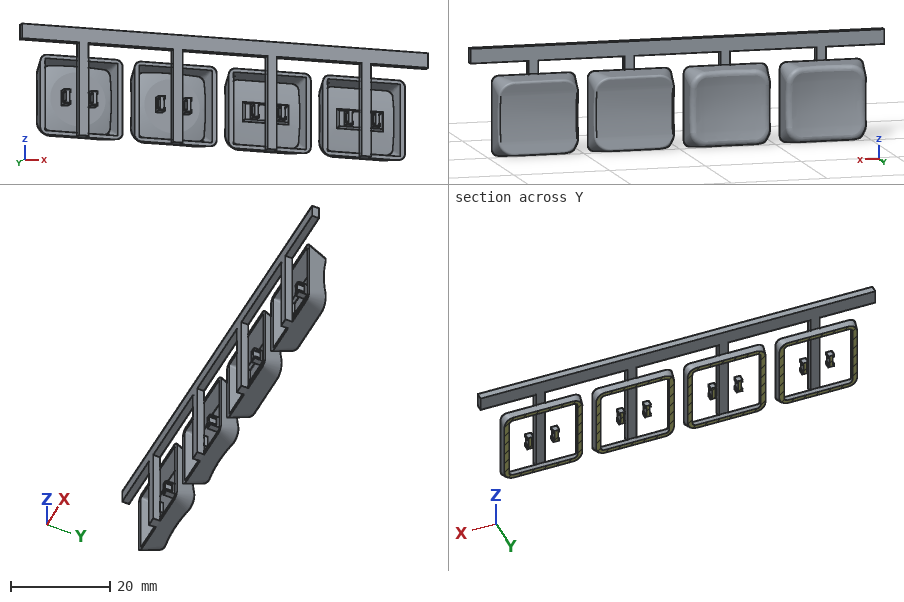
import cadquery as cq
import math


sprue_length = 86.4
sprue_thickness = 1.55
rail_height = 3.0
runner_width = 2.0
rail_gap = 2.7

cap_width = 17.5
cap_height = 16.5
cap_pitch = 20.0
crown_y = 5.2
draft_x = 0.6
draft_z = 0.8
rim_corner = 1.5
crown_corner = 3.6

wall_x = 1.0
wall_z = 0.8
cavity_draft_x = 1.0
cavity_draft_z = 1.3
opening_corner = 0.3
cavity_crown_corner = 1.9

dish_radius_x = 31.95
dish_radius_z = 28.5
bowl_floor = 3.2
trough_floor = 3.6
bowl_edge_round = 0.95
trough_edge_round = 0.4
bowl_roof = 1.4
trough_roof = 1.1
flat_half_width = 5.9
dish_overhang = 0.9

stem_width = 1.3
stem_height = 3.0
stem_spacing = 5.7
stem_tip_y = 0
tip_chamfer = 0.2
waist_height = 1.9
waist_depth = 0.3
waist_length = 1.55

pad_width = 9.85
pad_height = 4.1
pad_rise = 0.4
pad_inset = 0.35

total_height = cap_height + rail_gap + rail_height
sprue_bottom = -cap_height / 2
sprue_top = sprue_bottom + total_height


def tapered_block(width, height, inset_x, inset_z, rim_radius, crown_radius):
    """Block from Y = 0 to the crown that narrows by the inset on each side."""
    rim = cq.Sketch().rect(width, height).vertices().fillet(rim_radius)
    crown = cq.Sketch().rect(width - 2 * inset_x, height - 2 * inset_z).vertices().fillet(crown_radius)
    rim_plane = cq.Plane(origin=(0, 0, 0), xDir=(-1, 0, 0), normal=(0, 1, 0))
    crown_place = cq.Location(cq.Vector(0, 0, crown_y))
    return cq.Workplane(rim_plane).placeSketch(rim, crown.moved(crown_place)).loft()


def dish(floor, radius_x, radius_z):
    """Solid of revolution about an X axis whose lowest point is at Y = floor.

    Its underside curves by radius_z across Z, and by radius_x across X (straight when None).
    """
    reach = cap_width / 2 + dish_overhang
    axis_y = floor + radius_z
    profile = cq.Workplane("XY").moveTo(-reach, axis_y)
    if radius_x is None:
        profile = profile.lineTo(-reach, floor).lineTo(reach, floor)
    else:
        end_y = floor + radius_x - math.sqrt(radius_x**2 - reach**2)
        profile = profile.lineTo(-reach, end_y).threePointArc((0, floor), (reach, end_y))
    profile = profile.lineTo(reach, axis_y).close()
    return profile.revolve(360, (-reach, axis_y), (reach, axis_y))


def cap_body(floor, radius_x, edge_round):
    """Solid cap with a dished top and a rounded top edge."""
    block = tapered_block(cap_width, cap_height, draft_x, draft_z, rim_corner, crown_corner)
    body = block.cut(dish(floor, radius_x, dish_radius_z))
    return body.faces(cq.selectors.NearestToPointSelector((0, floor, 0))).edges().fillet(edge_round)


def cavity_block():
    """Tapered hollow reaching all the way to the crown."""
    return tapered_block(
        cap_width - 2 * wall_x,
        cap_height - 2 * wall_z,
        cavity_draft_x,
        cavity_draft_z,
        opening_corner,
        cavity_crown_corner,
    )


def stem(x, root_y):
    """Post from the roof toward the rim with each broad side waisted near the tip."""
    length = root_y - stem_tip_y
    post = cq.Workplane("XY").box(stem_width, length, stem_height)
    post = post.faces("<Y").edges().chamfer(tip_chamfer)
    for side in (-1, 1):
        waist = cq.Workplane("XY").box(2 * waist_depth, 2 * waist_length, waist_height)
        post = post.cut(waist.translate((side * stem_width / 2, -length / 2, 0)))
    return post.translate((x, stem_tip_y + length / 2, 0))


def with_stems(cap, root_y):
    for x in (-stem_spacing / 2, stem_spacing / 2):
        cap = cap.union(stem(x, root_y))
    return cap


def bowl_cap():
    """Cap dished both ways; the bulge of its ceiling is trimmed to a flat around the stems."""
    ceiling = bowl_floor - bowl_roof
    block = cavity_block()
    bulge_radius = dish_radius_x + bowl_roof
    cavity = block.cut(dish(ceiling, bulge_radius, dish_radius_z + bowl_roof))
    flat_y = ceiling + bulge_radius - math.sqrt(bulge_radius**2 - flat_half_width**2)
    trim = cq.Workplane("XY").box(cap_width, flat_y, cap_height, centered=(True, False, True))
    body = cap_body(bowl_floor, dish_radius_x, bowl_edge_round)
    body = body.cut(cavity).cut(block.intersect(trim))
    return with_stems(body, (flat_y + bowl_floor) / 2)


def trough_cap():
    """Cap dished across Z only, with a bevelled pad under the stems."""
    ceiling = trough_floor - trough_roof
    cavity = cavity_block().cut(dish(ceiling, None, dish_radius_z + trough_roof))
    body = cap_body(trough_floor, None, trough_edge_round).cut(cavity)
    root_y = trough_floor - trough_roof / 2
    pad_depth = root_y - ceiling + pad_rise
    pad = cq.Workplane("XY").box(pad_width, pad_depth, pad_height)
    pad = pad.faces("<Y").chamfer(pad_rise, pad_inset)
    pad = pad.translate((0, root_y - pad_depth / 2, 0))
    return with_stems(body.union(pad), root_y)


def sprue_bar(x, width, bottom):
    """Bar in front of the rims, from the given height up to the top of the sprue."""
    height = sprue_top - bottom
    bar = cq.Workplane("XY").box(width, sprue_thickness, height)
    return bar.translate((x, -sprue_thickness / 2, bottom + height / 2))


bowl = bowl_cap()
trough = trough_cap()
caps = (bowl, bowl, trough, trough)

result = sprue_bar(0, sprue_length, sprue_top - rail_height)
for index, cap in enumerate(caps):
    cap_x = (index - (len(caps) - 1) / 2) * cap_pitch
    result = result.union(sprue_bar(cap_x, runner_width, sprue_bottom))
    result = result.union(cap.translate((cap_x, 0, 0)))